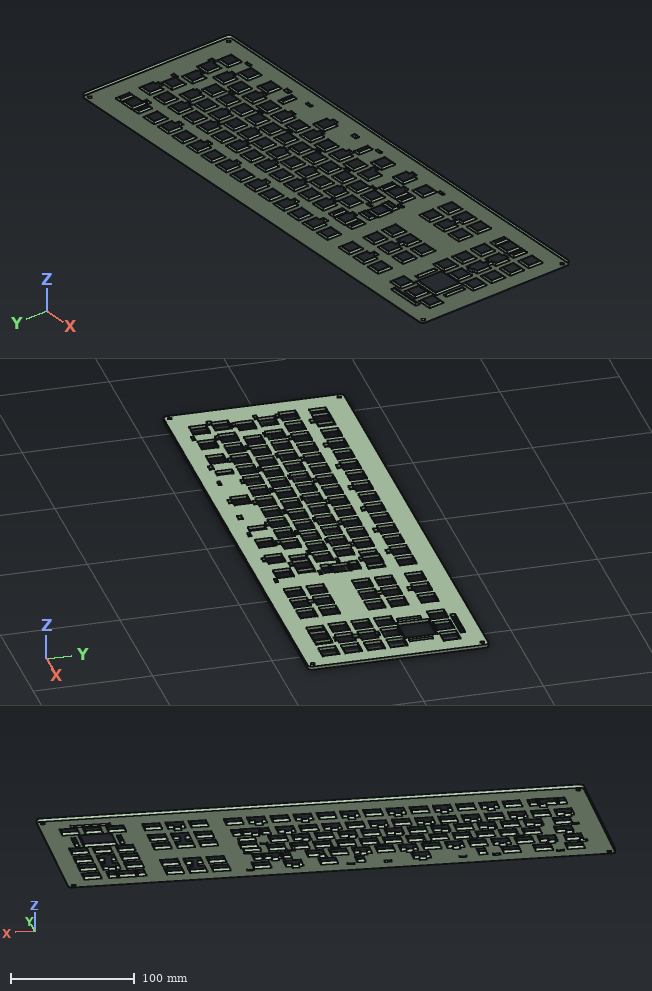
import cadquery as cq

PLATE_LENGTH = 449.0
PLATE_WIDTH = 151.5
PLATE_THICKNESS = 3.0
CORNER_RADIUS = 3.6
SCREW_HOLE_DIAMETER = 3.2
SCREW_INSET = 4.75

KEY_UNIT = 19.05
KEYS_LEFT = -209.2
SWITCH_SIZE = 14.2
NAVIGATION_EXTRA_GAP = 0.25
NUMPAD_EXTRA_GAP = 1.35

FUNCTION_ROW = 48.8
NUMBER_ROW = 23.57
UPPER_ROW = NUMBER_ROW - KEY_UNIT
HOME_ROW = UPPER_ROW - KEY_UNIT
SHIFT_ROW = HOME_ROW - KEY_UNIT
SPACE_ROW = SHIFT_ROW - KEY_UNIT
ENTER_CENTRE = (UPPER_ROW + HOME_ROW) / 2

STABILISER_WIDTH = 6.8
STABILISER_HEIGHT = 14.0
BACKSPACE_STABILISER_DROP = 0.6
ENTER_STABILISER_SHIFT = 1.0
SHORT_STABILISER_REACH = 11.9
ENTER_STABILISER_REACH = 12.0
SPACEBAR_STABILISER_REACH = 50.0

RELIEF_WIDTH = 5.85
RELIEF_DEPTH = 10.4
UPPER_RELIEF_DEPTH = 9.3
FUNCTION_RELIEF_DEPTH = 11.4
RELIEF_START = 6.5

WEB_SLOT_HEIGHT = 2.2
WEB_SLOT_DROP = 9.0
TALL_SLOT_HEIGHT = 3.6
TALL_SLOT_DROP = 8.4

NAVIGATION_BRIDGE_WIDTH = 4.8
NUMPAD_BRIDGE_WIDTH = 6.0
NUMPAD_BRIDGE_HEIGHT = 37.5

DISPLAY_SIZE = 27.1
DISPLAY_Y = 26.4
SIDE_SLOT_WIDTH = 3.4
SIDE_SLOT_HEIGHT = 19.5
SIDE_SLOT_REACH = 18.6
SIDE_SLOT_Y = 24.7
TOP_SLOT_LENGTH = 32.5
TOP_SLOT_HEIGHT = 4.0
TOP_SLOT_Y = 60.5


def units(first, count):
    """Positions of a run of single-unit keys."""
    return [first + i for i in range(count)]


def every_second(first, count):
    """Positions of a run of reliefs, one below every second key."""
    return [first + 2 * i for i in range(count)]


NAVIGATION_COLUMNS = units(16, 3)
NUMPAD_COLUMNS = units(19.5, 3)
NUMPAD_ZERO = 20.0

ESCAPE = 1.0
BACKSPACE = 14.0
ENTER = 14.375
RIGHT_SHIFT = 13.625
SPACEBAR = 7.375

MAIN_SWITCHES = {
    FUNCTION_ROW: [ESCAPE] + units(2.5, 13),
    NUMBER_ROW: units(0.5, 13) + [BACKSPACE],
    UPPER_ROW: [0.75] + units(2, 12),
    HOME_ROW: [0.875] + units(2.25, 12),
    SHIFT_ROW: [0.625] + units(1.75, 11) + [RIGHT_SHIFT],
    SPACE_ROW: [0.75, 2.125, 3.5, SPACEBAR, 11.375, 12.875, 14.25],
}
NAVIGATION_ROWS = [FUNCTION_ROW, NUMBER_ROW, UPPER_ROW, SHIFT_ROW, SPACE_ROW]
NUMPAD_ROWS = [FUNCTION_ROW, UPPER_ROW, HOME_ROW, SHIFT_ROW]

NOTCHES = {
    FUNCTION_ROW: [1.25] + every_second(3.5, 6) + [17.0],
    NUMBER_ROW: [0.42] + every_second(2.46, 6) + [13.88],
    UPPER_ROW: [0.28] + every_second(1.88, 6),
    HOME_ROW: [0.7],
    SHIFT_ROW: [0.28, 1.65] + every_second(3.75, 4) + [11.5, 13.55],
    SPACE_ROW: [SPACEBAR, 12.85],
}

WEB_SLOTS = {
    UPPER_ROW: [13.7],
    HOME_ROW: every_second(2.84, 5) + [12.7, 14.58],
    SPACE_ROW: [1.45, 5.65, 10.48, 14.8],
}

TALL_SLOTS = [4.2, 8.88]


def key_x(position):
    return KEYS_LEFT + position * KEY_UNIT


def navigation_x(position):
    return key_x(position) + NAVIGATION_EXTRA_GAP


def numpad_x(position):
    return key_x(position) + NUMPAD_EXTRA_GAP


def cut_windows(plate, centres, width, height):
    """Cut a through rectangle at every centre."""
    cutter = cq.Workplane("XY").pushPoints(centres).rect(width, height).extrude(PLATE_THICKNESS)
    return plate.cut(cutter)


def make_plate():
    plate = cq.Workplane("XY").box(PLATE_LENGTH, PLATE_WIDTH, PLATE_THICKNESS, centered=(True, True, False))
    plate = plate.edges("|Z").fillet(CORNER_RADIUS)
    screws = cq.Workplane("XY").rect(
        PLATE_LENGTH - 2 * SCREW_INSET, PLATE_WIDTH - 2 * SCREW_INSET, forConstruction=True
    )
    return plate.cut(screws.vertices().circle(SCREW_HOLE_DIAMETER / 2).extrude(PLATE_THICKNESS))


def cut_switches(plate):
    centres = [(key_x(p), row) for row, positions in MAIN_SWITCHES.items() for p in positions]
    centres += [(navigation_x(p), row) for row in NAVIGATION_ROWS for p in NAVIGATION_COLUMNS]
    centres += [(numpad_x(p), row) for row in NUMPAD_ROWS for p in NUMPAD_COLUMNS]
    centres += [(numpad_x(p), SPACE_ROW) for p in (NUMPAD_ZERO, NUMPAD_COLUMNS[-1])]
    centres.append((key_x(ENTER), ENTER_CENTRE))
    return cut_windows(plate, centres, SWITCH_SIZE, SWITCH_SIZE)


def cut_stabilisers(plate):
    wide_keys = [
        (key_x(ESCAPE), FUNCTION_ROW, SHORT_STABILISER_REACH),
        (key_x(BACKSPACE), NUMBER_ROW - BACKSPACE_STABILISER_DROP, SHORT_STABILISER_REACH),
        (key_x(RIGHT_SHIFT), SHIFT_ROW, SHORT_STABILISER_REACH),
        (key_x(SPACEBAR), SPACE_ROW, SPACEBAR_STABILISER_REACH),
        (numpad_x(NUMPAD_ZERO), SPACE_ROW, SHORT_STABILISER_REACH),
    ]
    centres = [(x + side * reach, y) for x, y, reach in wide_keys for side in (-1, 1)]
    plate = cut_windows(plate, centres, STABILISER_WIDTH, STABILISER_HEIGHT)

    enter_x = key_x(ENTER) - ENTER_STABILISER_SHIFT
    centres = [(enter_x, ENTER_CENTRE + side * ENTER_STABILISER_REACH) for side in (-1, 1)]
    return cut_windows(plate, centres, STABILISER_HEIGHT, STABILISER_WIDTH)


def cut_notches(plate):
    special_depths = {FUNCTION_ROW: FUNCTION_RELIEF_DEPTH, UPPER_ROW: UPPER_RELIEF_DEPTH}
    for row, positions in NOTCHES.items():
        depth = special_depths.get(row, RELIEF_DEPTH)
        middle = row - (RELIEF_START + depth) / 2
        centres = [(key_x(p), middle) for p in positions]
        plate = cut_windows(plate, centres, RELIEF_WIDTH, depth - RELIEF_START)
    return plate


def cut_web_slots(plate):
    centres = [(key_x(p), row - WEB_SLOT_DROP) for row, positions in WEB_SLOTS.items() for p in positions]
    plate = cut_windows(plate, centres, RELIEF_WIDTH, WEB_SLOT_HEIGHT)
    centres = [(key_x(p), SPACE_ROW - TALL_SLOT_DROP) for p in TALL_SLOTS]
    return cut_windows(plate, centres, RELIEF_WIDTH, TALL_SLOT_HEIGHT)


def cut_bridges(plate):
    navigation_middle = navigation_x(NAVIGATION_COLUMNS[1])
    centres = [(navigation_middle, row - KEY_UNIT / 2) for row in (NUMBER_ROW, SHIFT_ROW)]
    plate = cut_windows(plate, centres, NAVIGATION_BRIDGE_WIDTH, KEY_UNIT - SWITCH_SIZE)
    numpad_centre = (numpad_x(NUMPAD_COLUMNS[1]), (HOME_ROW + SHIFT_ROW) / 2)
    return cut_windows(plate, [numpad_centre], NUMPAD_BRIDGE_WIDTH, NUMPAD_BRIDGE_HEIGHT)


def cut_display(plate):
    middle = numpad_x(NUMPAD_COLUMNS[1])
    plate = cut_windows(plate, [(middle, DISPLAY_Y)], DISPLAY_SIZE, DISPLAY_SIZE)
    sides = [(middle + side * SIDE_SLOT_REACH, SIDE_SLOT_Y) for side in (-1, 1)]
    plate = cut_windows(plate, sides, SIDE_SLOT_WIDTH, SIDE_SLOT_HEIGHT)
    return cut_windows(plate, [(middle, TOP_SLOT_Y)], TOP_SLOT_LENGTH, TOP_SLOT_HEIGHT)


result = make_plate()
result = cut_switches(result)
result = cut_stabilisers(result)
result = cut_notches(result)
result = cut_web_slots(result)
result = cut_bridges(result)
result = cut_display(result)